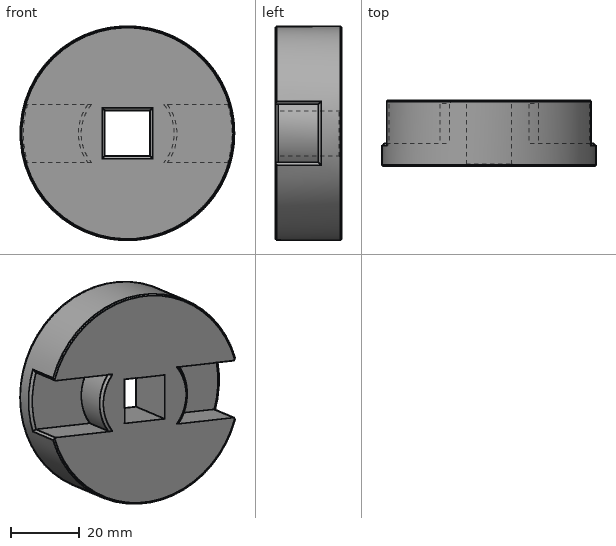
import cadquery as cq

disc_diameter = 62.4
disc_thickness = 19.2
rim_chamfer = 0.45

square_side = 13.1
square_chamfer = 0.8

slot_width = 17.0
slot_depth = 12.5
hub_diameter = 28.7
slot_chamfer = 0.8

disc_radius = disc_diameter / 2
front_y = -disc_thickness / 2
back_y = disc_thickness / 2
size_tolerance = 0.005


def cylinder_along_y(diameter, start_y, length):
    """Solid cylinder on the Y axis, running from start_y toward +Y."""
    plane = cq.Workplane("XZ", origin=(0, start_y, 0))
    return plane.circle(diameter / 2).extrude(-length)


def make_disc():
    disc = cylinder_along_y(disc_diameter, front_y, disc_thickness)
    return disc.edges("%CIRCLE").chamfer(rim_chamfer)


def slot_cutter():
    """Both slots at once: a bar across the disc that spares the chamfered hub."""
    bar = cq.Workplane("XY").box(2 * disc_diameter, slot_depth, slot_width)
    floor_y = back_y - slot_depth
    bar = bar.translate((0, floor_y + slot_depth / 2, 0))
    hub = cylinder_along_y(hub_diameter, floor_y, slot_depth)
    hub = hub.faces(">Y").edges().chamfer(slot_chamfer)
    return bar.cut(hub)


def is_slot_mouth(edge):
    """Slot edges where the floor and side walls meet the cylindrical rim."""
    middle = edge.positionAt(0.5)
    on_rim = abs(cq.Vector(middle.x, 0, middle.z).Length - disc_radius) < size_tolerance
    inside_slot = abs(middle.z) < slot_width / 2 + size_tolerance
    return on_rim and inside_slot and middle.y > front_y + 2 * rim_chamfer


def cut_square_hole(body):
    hole = cq.Workplane("XY").box(square_side, disc_thickness, square_side)
    body = body.cut(hole)
    mouth_side = square_side + 2 * square_chamfer
    countersink = (
        cq.Workplane("XZ", origin=(0, front_y, 0))
        .rect(mouth_side, mouth_side)
        .workplane(offset=-square_chamfer)
        .rect(square_side, square_side)
        .loft(ruled=True)
    )
    return body.cut(countersink)


body = make_disc().cut(slot_cutter())
slot_mouth_edges = [edge for edge in body.edges().vals() if is_slot_mouth(edge)]
body = body.newObject(slot_mouth_edges).chamfer(slot_chamfer)
result = cut_square_hole(body)